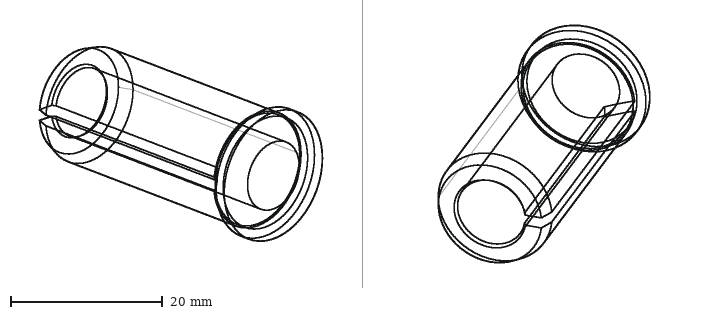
import cadquery as cq
import math

length = 37.0
body_radius = 8.0
bore_radius = 4.75
bore_chamfer_length = 0.5
bore_chamfer_depth = 0.3

nose_length = 2.0
nose_radius = 7.25

flange_radius = 9.0
flange_thickness = 1.5
groove_width = 1.5
groove_radius = 7.75

slot_width = 1.5
slot_runout = 2.75
saw_radius = 29.97

flange_start = length - flange_thickness
groove_start = flange_start - groove_width
runout_start = groove_start - slot_runout


def make_sleeve():
    """Revolve the half section (axial position, radius) about the X axis."""
    section = (
        cq.Workplane("XY")
        .moveTo(0, bore_radius + bore_chamfer_depth)
        .lineTo(0, nose_radius)
        .lineTo(nose_length, body_radius)
        .lineTo(groove_start, body_radius)
        .lineTo(groove_start, groove_radius)
        .lineTo(flange_start, groove_radius)
        .lineTo(flange_start, flange_radius)
        .lineTo(length, flange_radius)
        .lineTo(length, bore_radius)
        .lineTo(bore_chamfer_length, bore_radius)
        .close()
    )
    return section.revolve(360, (0, 0, 0), (1, 0, 0))


def make_slot_cutter():
    """Make the slot, with a concave arc from the bore out to the groove shoulder."""
    chord_x = slot_runout
    chord_y = bore_radius - groove_radius
    chord = math.hypot(chord_x, chord_y)
    sagitta = saw_radius - math.sqrt(saw_radius**2 - (chord / 2) ** 2)
    arc_middle = (
        runout_start + chord_x / 2 - sagitta * chord_y / chord,
        -(bore_radius + groove_radius) / 2 + sagitta * chord_x / chord,
    )
    return (
        cq.Workplane("XY")
        .moveTo(0, 0)
        .lineTo(runout_start, 0)
        .lineTo(runout_start, -bore_radius)
        .threePointArc(arc_middle, (groove_start, -groove_radius))
        .lineTo(groove_start, -body_radius)
        .lineTo(0, -body_radius)
        .close()
        .extrude(slot_width / 2, both=True)
    )


result = make_sleeve().cut(make_slot_cutter())